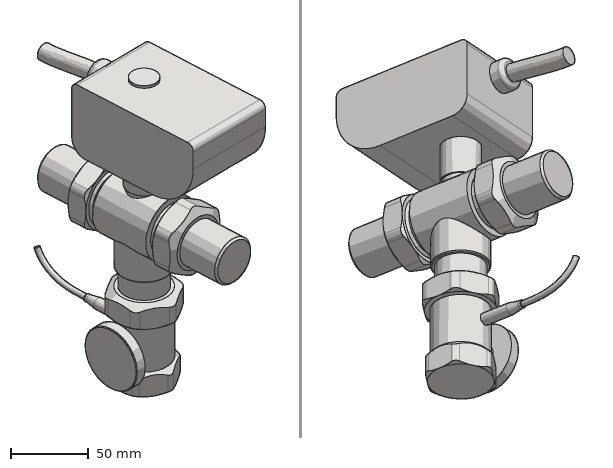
import cadquery as cq
import math


VALVE_RADIUS = 23.5
VALVE_HALF_LENGTH = 23.5
VALVE_NECK_RADIUS = 18.9
COLLAR_CHAMFER = 1.8
COLLAR_RADIUS = VALVE_NECK_RADIUS + COLLAR_CHAMFER
COLLAR_END = 29.4
BRANCH_RADIUS = 19.4
BRANCH_END = 40.0
BRANCH_CHAMFER = 0.8
STEM_SEAT_RADIUS = 12.5

NUT_FLATS = 47.0
NUT_LENGTH = 18.0
NUT_CORNER_RADIUS = 6.5
NUT_TAIL_FACE_RADIUS = 19.5
TAIL_RADIUS = 16.9
TAIL_CHAMFER = 1.5
RUN_END = 79.5
RUN_TAIL_LENGTH = RUN_END - COLLAR_END - NUT_LENGTH
BRANCH_TAIL_LENGTH = 15.0
HEX_CONE_SLOPE = math.tan(math.radians(60))

LOWER_TOP = -(BRANCH_END + BRANCH_TAIL_LENGTH + NUT_LENGTH)
LOWER_BOTTOM = -126.5
LOWER_RADIUS = 19.8
LOWER_HEX_FLATS = 43.0
LOWER_HEX_LENGTH = 18.0
LOWER_HEX_CORNER_RADIUS = 5.0
LOWER_HEX_TOP_SLOPE = 1.0
WHEEL_Z = -96.4
WHEEL_RADIUS = 23.0
WHEEL_BACK_Y = -23.5
WHEEL_THICKNESS = 8.0
WHEEL_CHAMFER = 0.6
SPINDLE_RADIUS = 8.0
PROBE_Z = -87.1
PROBE_RADIUS = 4.2
PROBE_TIP_RADIUS = 2.8
PROBE_CONE_START_X = -40.5
PROBE_CONE_END_X = -48.5
PROBE_END_X = -50.7
PROBE_CABLE_RADIUS = 2.1
PROBE_CABLE_MIDDLE = (-78.0, -83.5)
PROBE_CABLE_TIP = (-94.48, -68.1)
PROBE_CABLE_TIP_DIRECTION = (-0.4, 0.92)

HOUSING_LEFT = -32.0
HOUSING_RIGHT = 75.2
HOUSING_BOTTOM = 50.0
HOUSING_TOP = 104.5
HOUSING_WIDTH = 68.0
HOUSING_TOP_RADIUS = 5.0
HOUSING_REAR_RADIUS = 12.0
HOUSING_NOSE_RADIUS = 36.0
STEM_RADIUS = 13.5
CAP_RADIUS = 10.2
CAP_HEIGHT = 2.0
GLAND_Z = 90.5
GLAND_RADIUS = 10.8
GLAND_LENGTH = 10.0
GLAND_ROUND = 3.0
CABLE_RADIUS = 6.25
CABLE_START_Z = 90.3
CABLE_START_DIRECTION = (-1.0, -0.08)
CABLE_MIDDLE = (-65.3, 87.6)
CABLE_TIP = (-88.4, 85.8)
CABLE_TIP_DIRECTION = (-1.0, 0.03)


def z_cylinder(radius, start, end):
    """Round bar on the Z axis."""
    return cq.Workplane("XY").workplane(offset=start).circle(radius).extrude(end - start)


def x_cylinder(radius, start, end, z=0.0):
    """Round bar parallel to X at height z."""
    return cq.Workplane("YZ", origin=(start, 0, z)).circle(radius).extrude(end - start)


def bent_bar(radius, points, start_direction, end_direction):
    """Round bar along a smooth curve in the XZ plane."""
    path = cq.Workplane("XZ").spline(points, tangents=[start_direction, end_direction])
    start_x, start_z = points[0]
    profile = cq.Plane(
        origin=(start_x, 0, start_z),
        xDir=(0, 1, 0),
        normal=(start_direction[0], 0, start_direction[1]),
    )
    return cq.Workplane(profile).circle(radius).sweep(path)


def hexagon(flats, length, corner_radius, lower_radius, lower_slope, upper_radius, upper_slope):
    """Hexagon on the Z axis from z = 0, rounded on its corners and turned conical at both ends.

    Each end face has the given radius, and the cone widens from it by slope per unit of height.
    """
    corner_diameter = flats / math.cos(math.pi / 6)
    blank = cq.Workplane("XY").polygon(6, corner_diameter).extrude(length)
    blank = blank.edges("|Z").fillet(corner_radius)
    outer_radius = corner_diameter / 2
    lower_cone_top = (outer_radius - lower_radius) / lower_slope
    upper_cone_bottom = length - (outer_radius - upper_radius) / upper_slope
    turned = (
        cq.Workplane("XZ")
        .polyline([
            (0, 0),
            (lower_radius, 0),
            (outer_radius, lower_cone_top),
            (outer_radius, upper_cone_bottom),
            (upper_radius, length),
            (0, length),
        ])
        .close()
        .revolve(360, (0, 0), (0, 1))
    )
    return blank.intersect(turned)


def make_valve():
    """Three-way valve: run along X, branch pointing down, stem seat on top."""
    body = x_cylinder(VALVE_RADIUS, -VALVE_HALF_LENGTH, VALVE_HALF_LENGTH)
    neck = x_cylinder(VALVE_NECK_RADIUS, -COLLAR_END, COLLAR_END)
    branch = z_cylinder(BRANCH_RADIUS, -BRANCH_END, 0).faces("<Z").chamfer(BRANCH_CHAMFER)
    seat = z_cylinder(STEM_SEAT_RADIUS, 0, VALVE_RADIUS)
    valve = body.union(neck).union(branch).union(seat)
    for side in (-1, 1):
        collar = cq.Solid.makeCone(
            COLLAR_RADIUS,
            VALVE_NECK_RADIUS,
            COLLAR_CHAMFER,
            pnt=cq.Vector(side * COLLAR_END, 0, 0),
            dir=cq.Vector(-side, 0, 0),
        )
        valve = valve.union(cq.Workplane(collar))
    return valve


def make_union(tail_length, tail_chamfer):
    """Union standing on the XY plane: nut first, tail pointing up."""
    nut = hexagon(
        NUT_FLATS,
        NUT_LENGTH,
        NUT_CORNER_RADIUS,
        NUT_FLATS / 2,
        HEX_CONE_SLOPE,
        NUT_TAIL_FACE_RADIUS,
        HEX_CONE_SLOPE,
    )
    tail = z_cylinder(TAIL_RADIUS, 0, NUT_LENGTH + tail_length)
    if tail_chamfer:
        tail = tail.faces(">Z").chamfer(tail_chamfer)
    return nut.union(tail)


def make_unions():
    """One union on each end of the run and one, tail up, below the branch."""
    unions = []
    for side in (-1, 1):
        run_union = make_union(RUN_TAIL_LENGTH, TAIL_CHAMFER)
        run_union = run_union.rotate((0, 0, 0), (0, 1, 0), side * 90)
        unions.append(run_union.translate((side * COLLAR_END, 0, 0)))
    unions.append(make_union(BRANCH_TAIL_LENGTH, 0).translate((0, 0, LOWER_TOP)))
    return unions


def make_probe():
    """Temperature probe leaving the lower valve towards -X, with its thin cable."""
    sleeve = x_cylinder(PROBE_RADIUS, PROBE_CONE_START_X, 0, PROBE_Z)
    taper = cq.Solid.makeCone(
        PROBE_RADIUS,
        PROBE_TIP_RADIUS,
        PROBE_CONE_START_X - PROBE_CONE_END_X,
        pnt=cq.Vector(PROBE_CONE_START_X, 0, PROBE_Z),
        dir=cq.Vector(-1, 0, 0),
    )
    tip = x_cylinder(PROBE_TIP_RADIUS, PROBE_END_X, PROBE_CONE_END_X, PROBE_Z)
    cable = bent_bar(
        PROBE_CABLE_RADIUS,
        [(PROBE_END_X, PROBE_Z), PROBE_CABLE_MIDDLE, PROBE_CABLE_TIP],
        (-1.0, 0.0),
        PROBE_CABLE_TIP_DIRECTION,
    )
    return sleeve.union(cq.Workplane(taper)).union(tip).union(cable)


def make_handwheel():
    """Round handwheel on a spindle pointing to -Y."""
    wheel = (
        cq.Workplane("XZ", origin=(0, WHEEL_BACK_Y, WHEEL_Z))
        .circle(WHEEL_RADIUS)
        .extrude(WHEEL_THICKNESS)
        .faces("<Y")
        .chamfer(WHEEL_CHAMFER)
    )
    spindle = cq.Workplane("XZ", origin=(0, 0, WHEEL_Z)).circle(SPINDLE_RADIUS).extrude(-WHEEL_BACK_Y)
    return wheel.union(spindle)


def make_lower_valve():
    """Lower valve: round body on a hexagonal foot, with handwheel and probe."""
    body = z_cylinder(LOWER_RADIUS, LOWER_BOTTOM, LOWER_TOP)
    foot = hexagon(
        LOWER_HEX_FLATS,
        LOWER_HEX_LENGTH,
        LOWER_HEX_CORNER_RADIUS,
        LOWER_HEX_FLATS / 2,
        HEX_CONE_SLOPE,
        LOWER_RADIUS,
        LOWER_HEX_TOP_SLOPE,
    ).translate((0, 0, LOWER_BOTTOM))
    return body.union(foot).union(make_handwheel()).union(make_probe())


def make_housing():
    """Actuator housing, with its profile rounded along the four edges parallel to Y."""
    length = HOUSING_RIGHT - HOUSING_LEFT
    height = HOUSING_TOP - HOUSING_BOTTOM
    block = (
        cq.Workplane("XY")
        .box(length, HOUSING_WIDTH, height, centered=(False, True, False))
        .translate((HOUSING_LEFT, 0, HOUSING_BOTTOM))
    )
    return (
        block.edges("|Y and >Z").fillet(HOUSING_TOP_RADIUS)
        .edges("|Y and <Z and <X").fillet(HOUSING_REAR_RADIUS)
        .edges("|Y and <Z and >X").fillet(HOUSING_NOSE_RADIUS)
    )


def make_actuator():
    """Actuator: housing with its stem, top cap, cable gland and cable."""
    gland_end_x = HOUSING_LEFT - GLAND_LENGTH
    stem = z_cylinder(STEM_RADIUS, VALVE_RADIUS, HOUSING_BOTTOM)
    cap = z_cylinder(CAP_RADIUS, HOUSING_TOP, HOUSING_TOP + CAP_HEIGHT)
    gland = x_cylinder(GLAND_RADIUS, gland_end_x, HOUSING_LEFT, GLAND_Z)
    gland = gland.faces("<X").edges().fillet(GLAND_ROUND)
    cable = bent_bar(
        CABLE_RADIUS,
        [(gland_end_x, CABLE_START_Z), CABLE_MIDDLE, CABLE_TIP],
        CABLE_START_DIRECTION,
        CABLE_TIP_DIRECTION,
    )
    return make_housing().union(stem).union(cap).union(gland).union(cable)


actuator = make_actuator()
valve = make_valve()
unions = make_unions()
lower_valve = make_lower_valve()

result = cq.Compound.makeCompound([
    actuator.val(),
    valve.val(),
    *[union.val() for union in unions],
    lower_valve.val(),
])